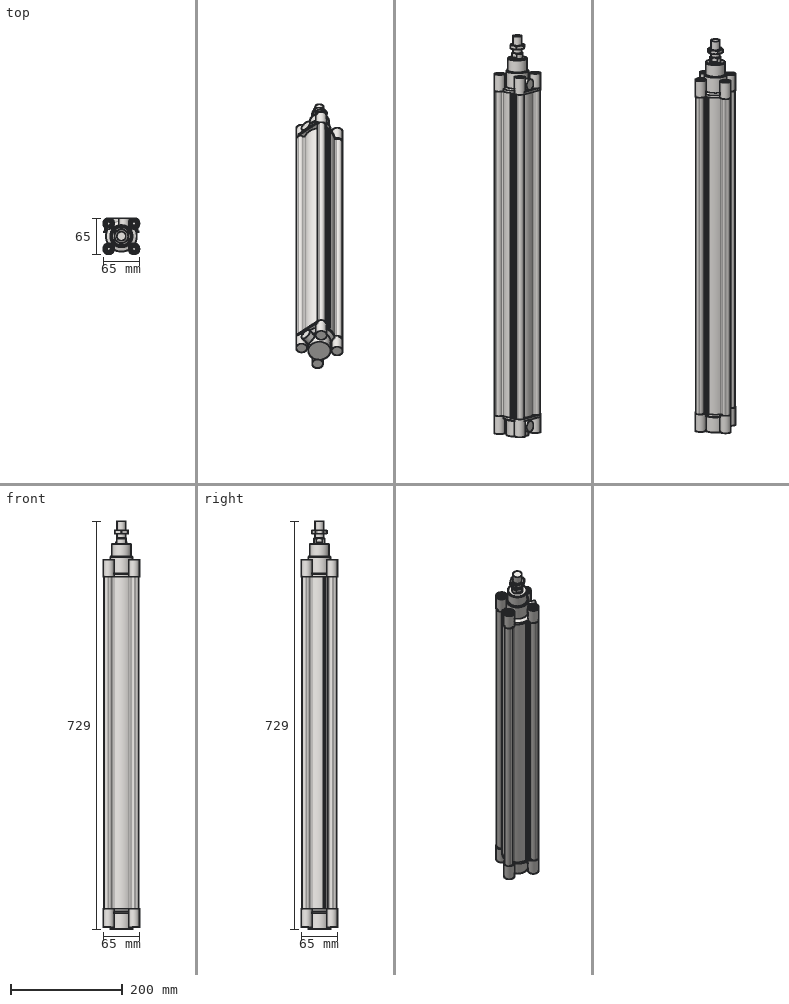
import cadquery as cq
import math


TOTAL_LENGTH = 729.0
BARREL_BOTTOM = 36.5
BARREL_TOP = 630.0
REAR_BOSS_BOTTOM = 4.0
FRONT_BOSS_TOP = 660.5
NECK_TOP = 666.0
COLLAR_TOP = 689.0
ROD_SHOULDER = 699.0
NUT_BOTTOM = 706.5

CAP_WIDTH = 65.0
BOSS_DIAMETER = 20.0
BOSS_OFFSET = (CAP_WIDTH - BOSS_DIAMETER) / 2
RECESS_DIAMETER = 14.0
RECESS_DEPTH = 1.0
SOCKET_ACROSS_FLATS = 9.0
SOCKET_DEPTH = 4.5
THREAD_HOLE_DIAMETER = 6.8
THREAD_HOLE_DEPTH = 11.0
NECK_DIAMETER = 40.0
COLLAR_DIAMETER = 35.0
COLLAR_CHAMFER = 1.5
NECK_CHAMFER = 1.5
PLATE_THICKNESS = 4.5
FRONT_CONE_HEIGHT = 2.0
REAR_CONE_HEIGHT = 4.0
PORT_BOSS_DIAMETER = 20.0
PORT_BOSS_SHIFT = 5.0

BODY_DIAMETER = 55.5
COLUMN_WIDTH = 14.5
COLUMN_CORNER_RADIUS = 6.5
COLUMN_OFFSET = 24.0
VALLEY_RADIUS = 2.0

RAIL_ROOT = 22.0
RAIL_LOWER_REACH = 31.0
RAIL_UPPER_REACH = 28.5
RAIL_LOWER_Y = 7.0
RAIL_UPPER_Y = 14.5
SLOT_WIDTH = 3.0
SLOT_CENTER_Y = 10.0
SLOT_FLOOR = 25.5

ROD_DIAMETER = 20.0
THREAD_DIAMETER = 16.0
FLATS_WIDTH = 17.0
FLATS_BOTTOM = 691.0
NUT_ACROSS_FLATS = 24.0
NUT_HEIGHT = 6.5
NUT_CHAMFER_HEIGHT = 1.1


def cylinder(diameter, bottom, top):
    return cq.Workplane("XY", origin=(0, 0, bottom)).circle(diameter / 2).extrude(top - bottom)


def block(width_x, width_y, center_x, center_y, bottom, top):
    base = cq.Workplane("XY", origin=(center_x, center_y, bottom))
    return base.rect(width_x, width_y).extrude(top - bottom)


def corner_points(offset):
    return [(x, y) for x in (-offset, offset) for y in (-offset, offset)]


def corner_bosses(bottom, top):
    base = cq.Workplane("XY", origin=(0, 0, bottom)).pushPoints(corner_points(BOSS_OFFSET))
    return base.circle(BOSS_DIAMETER / 2).extrude(top - bottom)


def hexagon(across_flats, bottom, top):
    """Upright hexagonal prism with two of its flats facing -X and +X."""
    across_corners = across_flats / math.cos(math.radians(30))
    prism = cq.Workplane("XY", origin=(0, 0, bottom)).polygon(6, across_corners).extrude(top - bottom)
    return prism.rotate((0, 0, 0), (0, 0, 1), 30)


def socket():
    """Cutter for a front boss: round recess, hexagon socket and thread hole, one below the other."""
    recess_floor = FRONT_BOSS_TOP - RECESS_DEPTH
    socket_floor = recess_floor - SOCKET_DEPTH
    recess = cylinder(RECESS_DIAMETER, recess_floor, FRONT_BOSS_TOP)
    hexagon_socket = hexagon(SOCKET_ACROSS_FLATS, socket_floor, recess_floor)
    thread_hole = cylinder(THREAD_HOLE_DIAMETER, socket_floor - THREAD_HOLE_DEPTH, socket_floor)
    return recess.union(hexagon_socket).union(thread_hole)


def cap_plate(barrel_face, direction, cone_height):
    """Round plate against the barrel, rising as a shallow cone to the neck."""
    rim = barrel_face + direction * PLATE_THICKNESS
    profile = [
        (0, barrel_face),
        (BODY_DIAMETER / 2, barrel_face),
        (BODY_DIAMETER / 2, rim),
        (NECK_DIAMETER / 2, rim + direction * cone_height),
        (0, rim + direction * cone_height),
    ]
    return cq.Workplane("XZ").polyline(profile).close().revolve(360, (0, 0, 0), (0, 1, 0))


def port_face(barrel_face, boss_end, direction):
    """Flat +Y ledge between two bosses, with the round port boss standing above it."""
    rim = barrel_face + direction * PLATE_THICKNESS
    half_width = CAP_WIDTH / 2
    ledge = block(
        2 * BOSS_OFFSET, half_width, 0, half_width / 2, min(barrel_face, rim), max(barrel_face, rim)
    )
    port_height = (barrel_face + boss_end) / 2
    port = (
        cq.Workplane("XZ", origin=(PORT_BOSS_SHIFT, 0, port_height))
        .circle(PORT_BOSS_DIAMETER / 2)
        .extrude(-half_width)
    )
    return ledge.union(port)


def make_front_cap():
    neck = cylinder(NECK_DIAMETER, BARREL_TOP, NECK_TOP).faces(">Z").chamfer(NECK_CHAMFER)
    collar = cylinder(COLLAR_DIAMETER, BARREL_TOP, COLLAR_TOP).faces(">Z").chamfer(COLLAR_CHAMFER)
    cap = cap_plate(BARREL_TOP, 1, FRONT_CONE_HEIGHT)
    cap = cap.union(neck).union(collar)
    cap = cap.union(port_face(BARREL_TOP, FRONT_BOSS_TOP, 1))
    cap = cap.union(corner_bosses(BARREL_TOP, FRONT_BOSS_TOP))
    for x, y in corner_points(BOSS_OFFSET):
        cap = cap.cut(socket().translate((x, y, 0)))
    return cap.cut(cylinder(ROD_DIAMETER, BARREL_TOP, COLLAR_TOP))


def make_rear_cap():
    cap = cap_plate(BARREL_BOTTOM, -1, REAR_CONE_HEIGHT)
    cap = cap.union(cylinder(NECK_DIAMETER, 0, BARREL_BOTTOM))
    cap = cap.union(port_face(BARREL_BOTTOM, REAR_BOSS_BOTTOM, -1))
    return cap.union(corner_bosses(REAR_BOSS_BOTTOM, BARREL_BOTTOM))


def lengthwise(outline):
    """Closed outline extruded over the whole barrel."""
    base = cq.Workplane("XY", origin=(0, 0, BARREL_BOTTOM)).polyline(outline).close()
    return base.extrude(BARREL_TOP - BARREL_BOTTOM)


def sensor_rail():
    """Raised rail on the +X side with a slanted face, split by the sensor slot."""
    rail = lengthwise(
        [
            (RAIL_ROOT, RAIL_LOWER_Y),
            (RAIL_LOWER_REACH, RAIL_LOWER_Y),
            (RAIL_UPPER_REACH, RAIL_UPPER_Y),
            (RAIL_ROOT, RAIL_UPPER_Y),
        ]
    )
    slot_depth = RAIL_LOWER_REACH - SLOT_FLOOR
    slot_x = SLOT_FLOOR + slot_depth / 2
    slot = block(slot_depth, SLOT_WIDTH, slot_x, SLOT_CENTER_Y, BARREL_BOTTOM, BARREL_TOP)
    return rail.cut(slot)


def is_valley(edge):
    """True for the edges where a corner column meets the round body."""
    center = edge.Center()
    on_body = abs(math.hypot(center.x, center.y) - BODY_DIAMETER / 2) < 0.1
    return on_body and abs(center.y) > 7


def make_barrel():
    barrel = cylinder(BODY_DIAMETER, BARREL_BOTTOM, BARREL_TOP)
    for x, y in corner_points(COLUMN_OFFSET):
        column = block(COLUMN_WIDTH, COLUMN_WIDTH, x, y, BARREL_BOTTOM, BARREL_TOP)
        barrel = barrel.union(column.edges("|Z").fillet(COLUMN_CORNER_RADIUS))
    barrel = barrel.edges("|Z").filter(is_valley).fillet(VALLEY_RADIUS)
    rail = sensor_rail()
    return barrel.union(rail).union(rail.mirror("YZ"))


def make_rod():
    rod = cylinder(ROD_DIAMETER, BARREL_TOP, ROD_SHOULDER)
    rod = rod.faces(">Z").chamfer((ROD_DIAMETER - THREAD_DIAMETER) / 2)
    rod = rod.union(cylinder(THREAD_DIAMETER, BARREL_TOP, TOTAL_LENGTH))
    for side in (-1, 1):
        center = side * (FLATS_WIDTH + ROD_DIAMETER) / 2
        rod = rod.cut(block(ROD_DIAMETER, ROD_DIAMETER, center, 0, FLATS_BOTTOM, ROD_SHOULDER))
    return rod


def make_nut():
    """Hexagon nut whose corners are trimmed by a cone at both ends."""
    nut_top = NUT_BOTTOM + NUT_HEIGHT
    across_corners = NUT_ACROSS_FLATS / math.cos(math.radians(30))
    chamfer_width = (across_corners - NUT_ACROSS_FLATS) / 2
    envelope = cylinder(across_corners, NUT_BOTTOM, nut_top)
    envelope = envelope.faces(">Z").chamfer(NUT_CHAMFER_HEIGHT, chamfer_width)
    envelope = envelope.faces("<Z").chamfer(NUT_CHAMFER_HEIGHT, chamfer_width)
    nut = hexagon(NUT_ACROSS_FLATS, NUT_BOTTOM, nut_top).intersect(envelope)
    return nut.cut(cylinder(THREAD_DIAMETER, NUT_BOTTOM, nut_top))


front_cap = make_front_cap()
rear_cap = make_rear_cap()
barrel = make_barrel()
rod = make_rod()
nut = make_nut()
result = cq.Compound.makeCompound(
    [front_cap.val(), rear_cap.val(), barrel.val(), rod.val(), nut.val()]
)